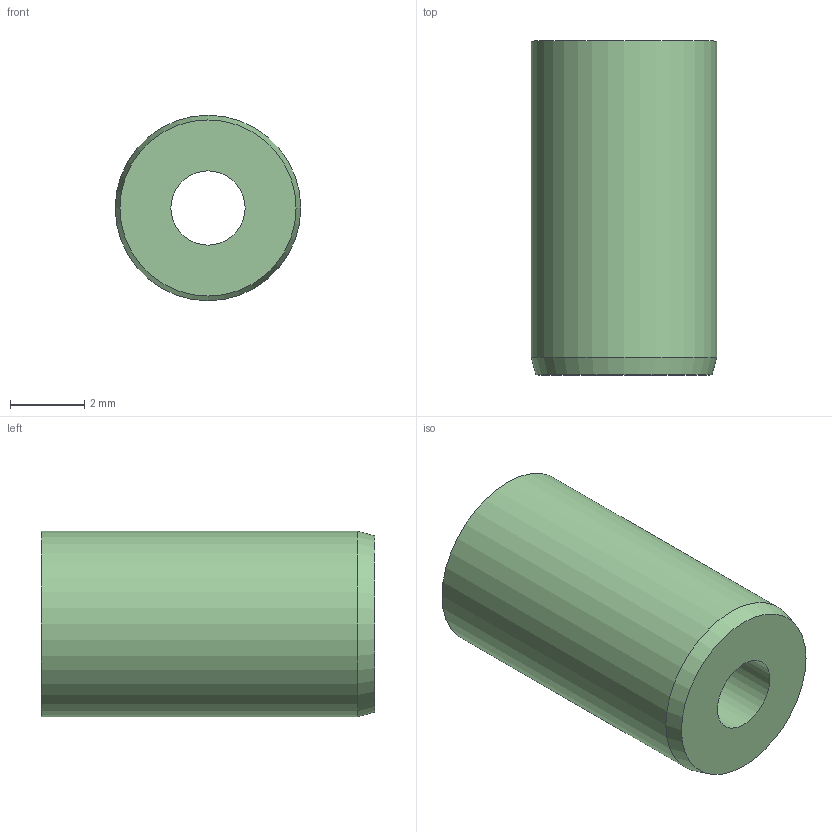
import cadquery as cq
import math

outer_diameter = 5.0
bore_diameter = 2.0
length = 9.0
lead_in_length = 0.47
lead_in_angle = 15.0

outer_radius = outer_diameter / 2
bore_radius = bore_diameter / 2
lead_in_depth = lead_in_length * math.tan(math.radians(lead_in_angle))


def make_bush():
    """Revolve the wall section, bore to outer surface, around the Y axis."""
    section = (
        cq.Workplane("XY")
        .moveTo(bore_radius, 0)
        .lineTo(outer_radius - lead_in_depth, 0)
        .lineTo(outer_radius, lead_in_length)
        .lineTo(outer_radius, length)
        .lineTo(bore_radius, length)
        .close()
    )
    return section.revolve(360, (0, 0, 0), (0, 1, 0))


result = make_bush()